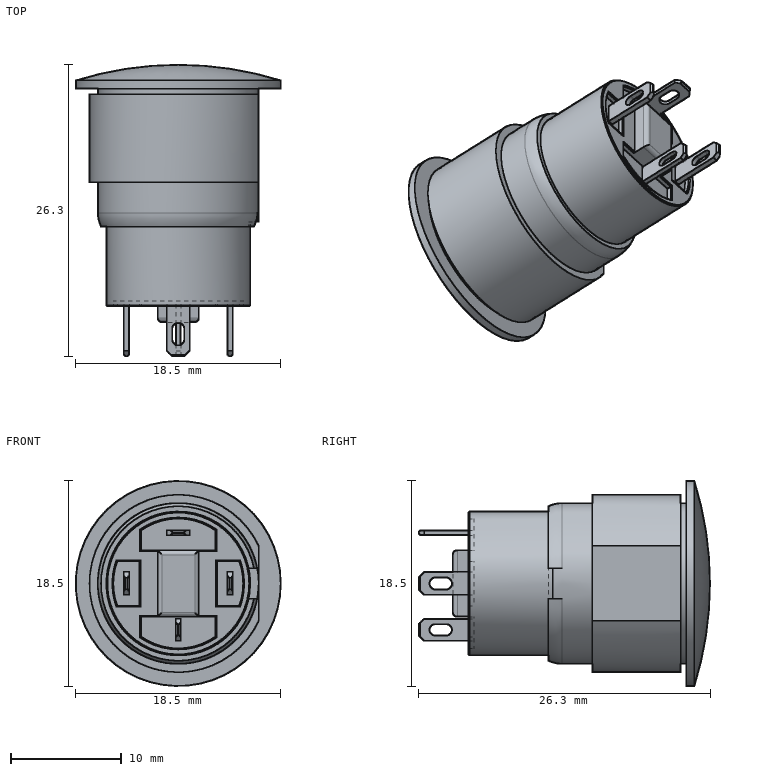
import cadquery as cq


flange_radius = 18.5 / 2
flange_thickness = 0.74
dome_height = 1.42
barrel_radius = 14.5 / 2
collar_radius = 16.0 / 2
tail_radius = 13.0 / 2
collar_start_y = -0.5
collar_end_y = -8.47
barrel_round_y = -11.2
barrel_end_y = -12.44
barrel_end_radius = 6.97
total_length = 26.3
terminal_length = 4.5
tip_y = flange_thickness + dome_height - total_length
tail_end_y = tip_y + terminal_length
edge_chamfer = 0.1

key_width = 2.73
key_end_y = -12.01

recess_depth = 0.5
recess_radius = 11.9 / 2 - edge_chamfer
main_recess_width = 6.7
side_recess_x = 3.5
side_recess_width = 4.0

block_width = 3.73
block_length = 6.0
block_height = 1.42
block_fillet = 0.4

wide_terminal = 2.08
narrow_terminal = 2.0
thick_terminal = 0.5
thin_terminal = 0.42
terminal_corner = 0.5
terminal_tip_chamfer = 0.15
eyelet_length = 2.0
eyelet_centre = 2.5
eyelet_margin = 0.5
side_terminal_x = 4.68
top_terminal_z = 4.57
bottom_terminal_z = -4.18


def box_between(x_range, y_range, z_range):
    """Axis-aligned box from (low, high) pairs."""
    ranges = (x_range, y_range, z_range)
    sizes = [high - low for low, high in ranges]
    return cq.Workplane("XY").box(*sizes, centered=False).translate(tuple(low for low, _ in ranges))


def cylinder_between(radius, low_y, high_y):
    """Cylinder on the part's axis."""
    return cq.Workplane("XZ", origin=(0, high_y, 0)).circle(radius).extrude(high_y - low_y)


def arc_radius(length, rise):
    """Radius of an arc that leaves a tangent line and departs from it by rise over length."""
    return (length**2 + rise**2) / (2 * rise)


def make_turned_body():
    dome_radius = arc_radius(flange_radius, dome_height)
    round_radius = arc_radius(barrel_round_y - barrel_end_y, barrel_radius - barrel_end_radius)
    profile = (
        cq.Workplane("XY")
        .moveTo(0, tail_end_y)
        .lineTo(tail_radius, tail_end_y)
        .lineTo(tail_radius, barrel_end_y)
        .lineTo(barrel_end_radius, barrel_end_y)
        .radiusArc((barrel_radius, barrel_round_y), -round_radius)
        .lineTo(barrel_radius, collar_end_y)
        .lineTo(collar_radius, collar_end_y)
        .lineTo(collar_radius, collar_start_y)
        .lineTo(barrel_radius, collar_start_y)
        .lineTo(barrel_radius, 0)
        .lineTo(flange_radius, 0)
        .lineTo(flange_radius, flange_thickness)
        .radiusArc((0, flange_thickness + dome_height), -dome_radius)
        .close()
    )
    return profile.revolve(360, (0, 0, 0), (0, 1, 0))


def add_flat_and_key(body):
    flat = box_between(
        (barrel_radius, collar_radius),
        (collar_end_y, collar_start_y),
        (-collar_radius, collar_radius),
    )
    key_span = (-key_width / 2, key_width / 2)
    key = box_between((0, barrel_radius), (key_end_y, barrel_round_y), key_span).intersect(
        cylinder_between(barrel_radius, key_end_y, barrel_round_y)
    )
    notch = box_between((0, barrel_radius), (barrel_end_y, key_end_y), key_span).cut(
        cylinder_between(tail_radius, barrel_end_y, key_end_y)
    )
    return body.cut(flat).union(key).cut(notch)


def cut_recesses(body):
    floor_y = tail_end_y + recess_depth
    bore = cylinder_between(recess_radius, tail_end_y, floor_y)
    half_main = main_recess_width / 2
    half_side = side_recess_width / 2
    depth = (tail_end_y, floor_y)
    main_recess = box_between((-half_main, half_main), depth, (block_length / 2, recess_radius))
    side_recess = box_between((side_recess_x, recess_radius), depth, (-half_side, half_side))
    for recess in (main_recess, side_recess):
        pocket = recess.intersect(bore)
        for turn in (0, 180):
            body = body.cut(pocket.rotate((0, 0, 0), (0, 1, 0), turn))
    return body.faces("<Y").edges().chamfer(edge_chamfer)


def make_block():
    block = box_between(
        (-block_width / 2, block_width / 2),
        (tail_end_y - block_height, tail_end_y + recess_depth),
        (-block_length / 2, block_length / 2),
    )
    return block.faces("<Y").edges().fillet(block_fillet)


def make_terminal(width, thickness):
    """Terminal on the part's axis, with its width along X and its thickness along Z."""
    blade = box_between(
        (-width / 2, width / 2),
        (tip_y, tail_end_y + recess_depth),
        (-thickness / 2, thickness / 2),
    )
    blade = blade.faces("<Y").edges("|Z").chamfer(terminal_corner)
    blade = blade.faces("<Y").edges("|X").chamfer(terminal_tip_chamfer)
    eyelet = (
        cq.Workplane("XY", origin=(0, tail_end_y - eyelet_centre, 0))
        .slot2D(eyelet_length, width - 2 * eyelet_margin, 90)
        .extrude(thickness, both=True)
    )
    return blade.cut(eyelet)


def make_terminals():
    top = make_terminal(wide_terminal, thin_terminal).translate((0, 0, top_terminal_z))
    upright = make_terminal(narrow_terminal, thin_terminal).rotate((0, 0, 0), (0, 1, 0), 90)
    bottom = upright.translate((0, 0, bottom_terminal_z))
    side = make_terminal(wide_terminal, thick_terminal).rotate((0, 0, 0), (0, 1, 0), 90)
    sides = [side.translate((sign * side_terminal_x, 0, 0)) for sign in (-1, 1)]
    return [top, bottom, *sides]


result = cut_recesses(add_flat_and_key(make_turned_body())).union(make_block())
for terminal in make_terminals():
    result = result.union(terminal)